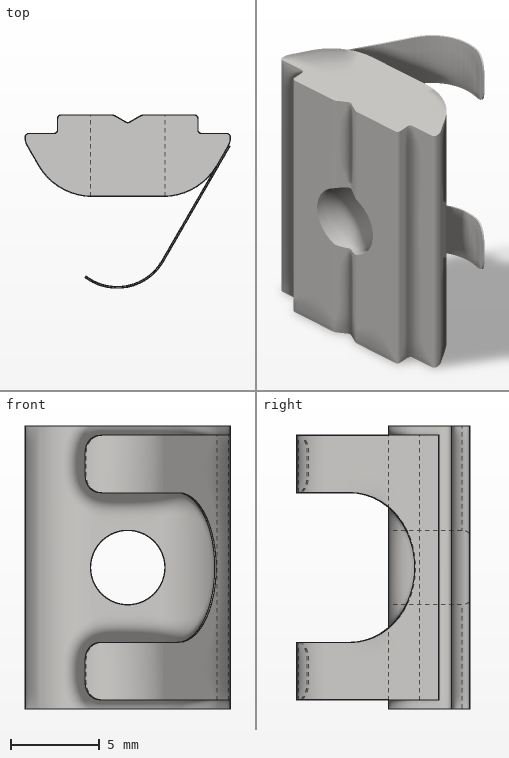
import cadquery as cq
import math


length = 16.0
body_width = 11.6
body_depth = 4.6
neck_width = 7.94
neck_depth = 1.04
front_flat_width = 4.0
front_radius = 3.5
flank_angle = math.radians(60)
neck_corner_radius = 0.2
wing_corner_radius = 0.22
flank_corner_radius = 0.86
hole_diameter = 4.2

groove_half_width = 0.8
groove_depth = 0.46
groove_edge_radius = 0.48
groove_root_radius = 0.2

sheet_thickness = 0.1
spring_length = 14.95
spring_front = -9.8
curl_outer_radius = 3.0
curl_inner_radius = curl_outer_radius - sheet_thickness
curl_tip_angle = math.radians(37)
spring_top_x = 5.68
window_width = 8.45
window_end_x = 4.91
tip_corner_radius = 1.0

normal_x = math.sin(flank_angle)
normal_y = -math.cos(flank_angle)
along_x = math.cos(flank_angle)
along_y = math.sin(flank_angle)

front_center_x = front_flat_width / 2
front_center_y = front_radius - body_depth
flank_x = front_center_x + front_radius * normal_x
flank_y = front_center_y + front_radius * normal_y


def flank_height(x):
    """Y of the straight right flank at a given X."""
    return flank_y + (x - flank_x) * math.tan(flank_angle)


def fillet_at(solid, points, radius):
    """Round the Z-parallel edges that pass through the given XY points."""
    for x, y in points:
        solid = solid.edges(cq.selectors.NearestToPointSelector((x, y, 0))).fillet(radius)
    return solid


def make_body():
    half_width = body_width / 2
    half_neck = neck_width / 2
    half_flat = front_flat_width / 2
    corner_y = flank_height(half_width)
    middle_x = front_center_x + front_radius * math.sin(flank_angle / 2)
    middle_y = front_center_y - front_radius * math.cos(flank_angle / 2)
    body = (
        cq.Workplane("XY")
        .workplane(offset=-length / 2)
        .moveTo(-half_flat, -body_depth)
        .lineTo(half_flat, -body_depth)
        .threePointArc((middle_x, middle_y), (flank_x, flank_y))
        .lineTo(half_width, corner_y)
        .lineTo(half_width, -neck_depth)
        .lineTo(half_neck, -neck_depth)
        .lineTo(half_neck, 0)
        .lineTo(groove_half_width, 0)
        .lineTo(0, -groove_depth)
        .lineTo(-groove_half_width, 0)
        .lineTo(-half_neck, 0)
        .lineTo(-half_neck, -neck_depth)
        .lineTo(-half_width, -neck_depth)
        .lineTo(-half_width, corner_y)
        .lineTo(-flank_x, flank_y)
        .threePointArc((-middle_x, middle_y), (-half_flat, -body_depth))
        .close()
        .extrude(length)
    )
    body = fillet_at(body, [(0, -groove_depth)], groove_root_radius)
    for side in (-1, 1):
        body = fillet_at(body, [(side * groove_half_width, 0)], groove_edge_radius)
        neck_corners = [(side * half_neck, 0), (side * half_neck, -neck_depth)]
        body = fillet_at(body, neck_corners, neck_corner_radius)
        body = fillet_at(body, [(side * half_width, -neck_depth)], wing_corner_radius)
        body = fillet_at(body, [(side * half_width, corner_y)], flank_corner_radius)
    hole = cq.Workplane("XZ").circle(hole_diameter / 2).extrude(body_depth)
    return body.cut(hole)


def make_spring():
    curl_y = spring_front + curl_outer_radius
    flank_offset = flank_x * normal_x + flank_y * normal_y
    curl_x = (flank_offset - curl_inner_radius - curl_y * normal_y) / normal_x

    def curl_point(radius, angle):
        """Point on the curl, with the angle measured from -Y towards +X."""
        return curl_x + radius * math.sin(angle), curl_y - radius * math.cos(angle)

    top_inner = (spring_top_x, flank_height(spring_top_x))
    top_outer = (top_inner[0] + sheet_thickness * normal_x, top_inner[1] + sheet_thickness * normal_y)
    sheet = (
        cq.Workplane("XY")
        .workplane(offset=-spring_length / 2)
        .moveTo(*top_inner)
        .lineTo(*curl_point(curl_inner_radius, flank_angle))
        .threePointArc(curl_point(curl_inner_radius, 0), curl_point(curl_inner_radius, -curl_tip_angle))
        .lineTo(*curl_point(curl_outer_radius, -curl_tip_angle))
        .threePointArc(curl_point(curl_outer_radius, 0), curl_point(curl_outer_radius, flank_angle))
        .lineTo(*top_outer)
        .close()
        .extrude(spring_length)
    )

    flank_plane = cq.Plane(
        origin=(window_end_x, flank_height(window_end_x), 0),
        xDir=(along_x, along_y, 0),
        normal=(normal_x, normal_y, 0),
    )
    window_radius = window_width / 2
    window = (
        cq.Workplane(flank_plane)
        .moveTo(-length, -window_radius)
        .lineTo(-window_radius, -window_radius)
        .threePointArc((0, 0), (-window_radius, window_radius))
        .lineTo(-length, window_radius)
        .close()
        .extrude(body_width, both=True)
    )
    spring = sheet.cut(window)

    tip_x, tip_y = curl_point(curl_outer_radius, -curl_tip_angle)
    tip_plane = cq.Plane(
        origin=(tip_x, tip_y, 0),
        xDir=(math.cos(curl_tip_angle), -math.sin(curl_tip_angle), 0),
        normal=(-math.sin(curl_tip_angle), -math.cos(curl_tip_angle), 0),
    )
    arc_middle = tip_corner_radius * (1 - math.sqrt(0.5))
    for edge, inward in (
        (-spring_length / 2, 1),
        (-window_radius, -1),
        (window_radius, 1),
        (spring_length / 2, -1),
    ):
        corner = (
            cq.Workplane(tip_plane)
            .moveTo(0, edge)
            .lineTo(tip_corner_radius, edge)
            .threePointArc((arc_middle, edge + inward * arc_middle), (0, edge + inward * tip_corner_radius))
            .close()
            .extrude(tip_corner_radius, both=True)
        )
        spring = spring.cut(corner)
    return spring


result = make_body().union(make_spring())